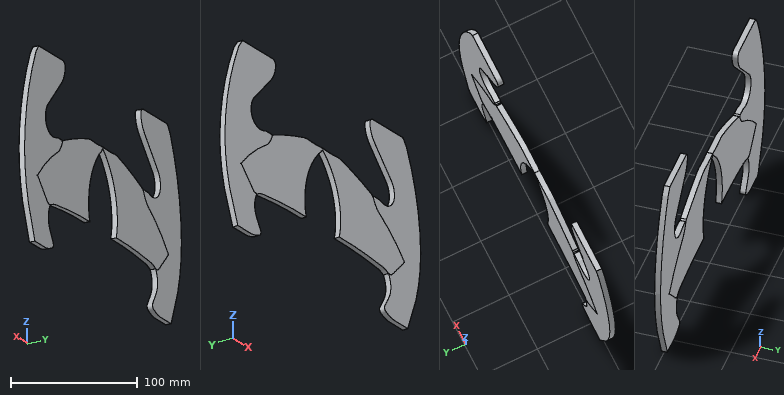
import cadquery as cq

thickness = 5.0
half_width = 133.3
half_height = 82.5

seat_top = (-68.5, 14.7)
seat_shoulder = (-75.2, 4.5)
seat_point = (-111.1, -26.0)
seat_heel = (-94.4, -43.5)
seat_bottom = (-89.3, -44.5)

web_crest = (-20.8, 30.7)
web_top_z = 30.7
web_contact_z = 28.8
web_bottom_corner = (-22.5, -38.6)


def trace_seat(profile):
    """Draw the joint from its upper end to its lower end."""
    return (
        profile.threePointArc((-70.4, 10.7), seat_shoulder)
        .threePointArc((-95.0, -9.9), seat_point)
        .lineTo(*seat_heel)
        .threePointArc((-92.0, -44.5), seat_bottom)
    )


def extrude_plate(profile):
    """Close a profile and extrude it equally to both sides of the XZ plane."""
    return profile.close().extrude(thickness / 2, both=True)


def make_grip():
    """Left grip: curved outer side, upper horn, thumb hollow, seat and lower horn."""
    profile = cq.Workplane("XZ").moveTo(*seat_top)
    profile = trace_seat(profile)
    profile = (
        profile.threePointArc((-92.5, -54.5), (-89.8, -65.5))
        .lineTo(-84.8, -74.0)
        .threePointArc((-84.2, -77.5), (-86.4, -79.7))
        .threePointArc((-91.5, -81.5), (-97.0, -half_height))
        .lineTo(-115.7, -half_height)
    )
    profile = (
        profile.lineTo(-127.0, -53.3)
        .threePointArc((-131.5, -33.3), (-half_width, -9.3))
        .threePointArc((-128.2, 33.5), (-114.0, 76.0))
        .lineTo(-109.3, half_height)
    )
    profile = (
        profile.lineTo(-68.2, half_height)
        .threePointArc((-65.3, 81.3), (-64.0, 77.8))
        .threePointArc((-65.5, 70.5), (-70.4, 63.0))
        .lineTo(-93.8, 37.8)
    )
    profile = (
        profile.threePointArc((-96.5, 32.8), (-97.3, 27.2))
        .threePointArc((-94.4, 18.5), (-84.2, 13.9))
        .threePointArc((-80.8, 14.5), (-77.3, 15.5))
        .lineTo(-69.8, 15.7)
    )
    return extrude_plate(profile)


def make_web():
    """Left web: seated in the grip outside, meeting the other web on the centre plane."""
    profile = cq.Workplane("XZ").moveTo(*seat_top)
    profile = trace_seat(profile)
    profile = (
        profile.threePointArc((-85.0, -42.6), (-79.2, -41.5))
        .threePointArc((-51.0, -39.2), web_bottom_corner)
        .threePointArc((-24.0, -29.9), (-24.3, -21.3))
        .threePointArc((-16.8, 7.5), (0, web_contact_z))
        .lineTo(0, web_top_z)
    )
    profile = (
        profile.threePointArc((-10.5, 30.0), web_crest)
        .lineTo(-25.0, 30.0)
        .threePointArc((-48.2, 23.2), (-67.2, 16.0))
    )
    return extrude_plate(profile)


bodies = []
for make_body in (make_grip, make_web):
    left_body = make_body()
    right_body = left_body.mirror("YZ")
    bodies += [left_body.val(), right_body.val()]

result = cq.Compound.makeCompound(bodies)